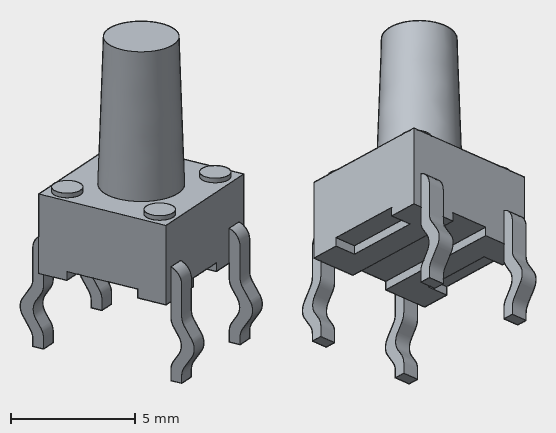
import cadquery as cq
import math

total_height = 13.45
leg_span = 8.2
body_side = 6.0
half_side = body_side / 2

body_bottom = 3.47
body_height = 3.5
body_top = body_bottom + body_height

recess_height = 0.39
channel_width = 1.78
front_recess_width = 3.34
front_recess_depth = 1.0

button_base_diameter = 3.5
button_top_diameter = 3.05

rivet_diameter = 1.26
rivet_height = 0.2
rivet_circle_radius = 3.07
rivet_start_angle = 45.5
rivet_count = 4

leg_width = 0.75
leg_thickness = 0.51
leg_offset_y = 2.25
leg_top = 5.03
leg_embed = 0.54
bend_radius = 0.7
kink_angle = math.radians(34)
apex_height = 1.64


def make_body():
    block = cq.Workplane("XY").box(body_side, body_side, body_height, centered=(True, True, False))
    channel = cq.Workplane("XY").box(
        body_side, channel_width, recess_height, centered=(True, True, False)
    )
    block = block.cut(channel)
    for side in (-1, 1):
        recess = (
            cq.Workplane("XY")
            .box(front_recess_width, front_recess_depth, recess_height, centered=(True, True, False))
            .translate((0, side * (half_side - front_recess_depth / 2), 0))
        )
        block = block.cut(recess)
    return block.translate((0, 0, body_bottom))


def make_button():
    return (
        cq.Workplane("XY", origin=(0, 0, body_top))
        .circle(button_base_diameter / 2)
        .workplane(offset=total_height - body_top)
        .circle(button_top_diameter / 2)
        .loft(ruled=True)
    )


def make_rivets():
    return (
        cq.Workplane("XY", origin=(0, 0, body_top))
        .polarArray(rivet_circle_radius, rivet_start_angle, 360, rivet_count)
        .circle(rivet_diameter / 2)
        .extrude(rivet_height)
    )


def make_leg():
    """One leg on the +X side, centred on Y = 0."""
    inner_x = half_side
    outer_x = inner_x + leg_thickness

    rounding_loss = bend_radius * (1 / math.cos(kink_angle) - 1)
    outer_apex_x = leg_span / 2 + rounding_loss
    inner_apex_x = outer_apex_x - leg_thickness / math.cos(kink_angle)

    outer_rise = (outer_apex_x - outer_x) / math.tan(kink_angle)
    inner_rise = (inner_apex_x - inner_x) / math.tan(kink_angle)

    outline = [
        (inner_x - leg_embed, leg_top),
        (outer_x, leg_top),
        (outer_x, apex_height + outer_rise),
        (outer_apex_x, apex_height),
        (outer_x, apex_height - outer_rise),
        (outer_x, 0),
        (inner_x, 0),
        (inner_x, apex_height - inner_rise),
        (inner_apex_x, apex_height),
        (inner_x, apex_height + inner_rise),
        (inner_x, leg_top - leg_thickness),
        (inner_x - leg_embed, leg_top - leg_thickness),
    ]
    outer_bends = outline[1:5]
    inner_bends = outline[7:10]
    leg = cq.Workplane("XZ").polyline(outline).close().extrude(leg_width / 2, both=True)
    for x, z in outer_bends + inner_bends:
        leg = leg.edges(cq.selectors.NearestToPointSelector((x, 0, z))).fillet(bend_radius)
    return leg


def make_legs():
    right_leg = make_leg()
    left_leg = right_leg.mirror("YZ")
    pair = right_leg.add(left_leg).combine()
    return [pair.translate((0, side * leg_offset_y, 0)) for side in (-1, 1)]


result = make_body().union(make_button()).union(make_rivets())
for leg_pair in make_legs():
    result = result.union(leg_pair)